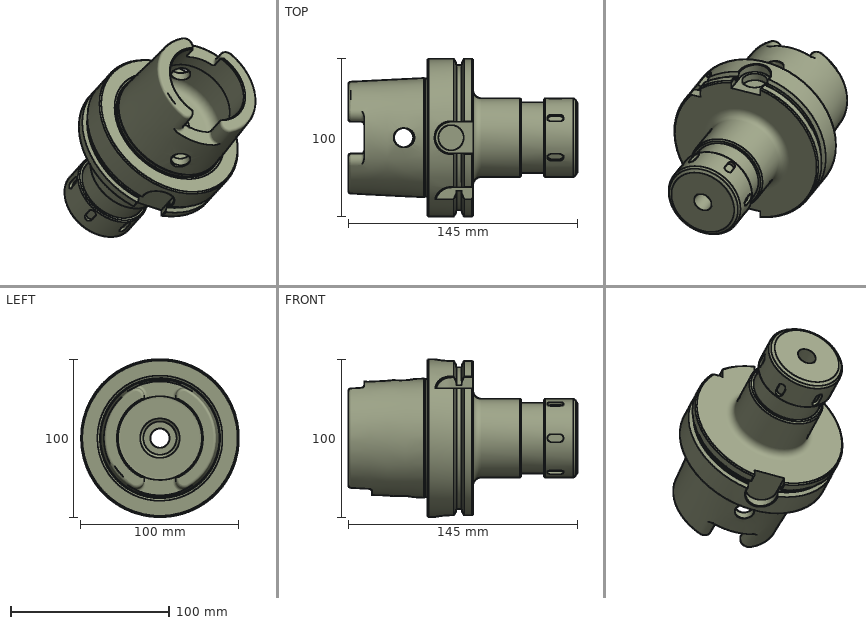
import cadquery as cq
import math


SHANK_LENGTH = 50.0
SHANK_BIG_DIAMETER = 75.52
SHANK_TAPER = 0.05
SHANK_TIP_ROUND = 1.8
RELIEF_LENGTH = 2.3
RELIEF_SLOPE_LENGTH = 0.9
RELIEF_DEPTH = 0.3
FACE_GROOVE_DIAMETER = 79.2
FACE_GROOVE_DEPTH = 0.6

BORE_DIAMETER = 53.0
BORE_MOUTH_CHAMFER = 0.8
LIP_LENGTH = 19.0
UNDERCUT_DIAMETER = 63.0
CLAMP_FACE_ANGLE = 60.0
BORE_FLOOR_DIAMETER = 50.0
BORE_DEPTH = 46.5
SEAT_MOUTH_DIAMETER = 25.0
SEAT_DIAMETER = 21.0
THROUGH_DIAMETER = 12.0

DRIVE_SLOT_WIDTH = 20.0
DRIVE_SLOT_ROLL = 5.0
DRIVE_SLOT_FLOOR_FILLET = 1.7
TOP_DRIVE_SLOT_DEPTH = 10.0
BOTTOM_DRIVE_SLOT_DEPTH = 15.0

CROSS_HOLE_X = -15.0
CROSS_HOLE_DIAMETER = 12.0
CROSS_HOLE_MOUTH_DIAMETER = 13.2

FLANGE_DIAMETER = 100.0
FLANGE_WIDTH = 29.0
FLANGE_CHAMFER = 0.9
GRIP_GROOVE_X = 20.0
GRIP_GROOVE_DIAMETER = 92.0
GRIP_GROOVE_WIDTH = 3.7
GRIP_GROOVE_MOUTH = 6.6
GRIP_FLANK_ANGLE = 30.0
GRIP_GROOVE_FILLET = 0.5

KEY_SLOT_RADIUS = 10.0
KEY_SLOT_X = 15.0
KEY_SLOT_FLOOR = 44.0
KEY_SLOT_CHAMFER = 0.5
CHIP_HOLE_DIAMETER = 16.0
CHIP_HOLE_DEPTH = 5.0
NOTCH_OFFSET = 31.5

BODY_DIAMETER = 50.0
BODY_END_X = 59.5
BODY_CHAMFER = 1.0
BODY_FILLET = 5.0
NECK_DIAMETER = 45.0

NUT_START_X = 73.7
NUT_END_X = 95.0
NUT_DIAMETER = 50.0
NUT_REAR_CHAMFER = 0.9
NUT_NOSE_DIAMETER = 43.5
NUT_NOSE_ANGLE = 30.0
NUT_NOSE_LENGTH = 1.2
NUT_ROUND = 1.4
NUT_SLOT_COUNT = 6
NUT_SLOT_X = 81.0
NUT_SLOT_LENGTH = 10.2
NUT_SLOT_WIDTH = 5.0
NUT_SLOT_FLOOR = 22.75

TOLERANCE = 0.001
BIG = 60.0


def revolve_about_x(profile):
    """Turn a closed XY profile about the X axis."""
    return profile.close().revolve(360, (0, 0, 0), (1, 0, 0))


def half_turn(cutter):
    return cutter.rotate((0, 0, 0), (1, 0, 0), 180)


def shank_radius(x):
    """Radius of the taper at x."""
    return SHANK_BIG_DIAMETER / 2 + SHANK_TAPER * (x + RELIEF_LENGTH)


def turned_holder():
    tip_x = -SHANK_LENGTH
    big_radius = SHANK_BIG_DIAMETER / 2
    tip_radius = shank_radius(tip_x)
    relief_radius = big_radius - RELIEF_DEPTH
    flange_radius = FLANGE_DIAMETER / 2
    body_radius = BODY_DIAMETER / 2
    profile = (
        cq.Workplane("XY")
        .moveTo(tip_x, 0)
        .lineTo(tip_x, tip_radius)
        .lineTo(-RELIEF_LENGTH, big_radius)
        .lineTo(-RELIEF_LENGTH + RELIEF_SLOPE_LENGTH, relief_radius)
        .lineTo(FACE_GROOVE_DEPTH, relief_radius)
        .lineTo(FACE_GROOVE_DEPTH, big_radius + RELIEF_DEPTH)
        .lineTo(0, FACE_GROOVE_DIAMETER / 2)
        .lineTo(0, flange_radius - FLANGE_CHAMFER)
        .lineTo(FLANGE_CHAMFER, flange_radius)
        .lineTo(FLANGE_WIDTH - FLANGE_CHAMFER, flange_radius)
        .lineTo(FLANGE_WIDTH, flange_radius - FLANGE_CHAMFER)
        .lineTo(FLANGE_WIDTH, body_radius + BODY_FILLET)
        .radiusArc((FLANGE_WIDTH + BODY_FILLET, body_radius), -BODY_FILLET)
        .lineTo(BODY_END_X - BODY_CHAMFER, body_radius)
        .lineTo(BODY_END_X, body_radius - BODY_CHAMFER)
        .lineTo(BODY_END_X, NECK_DIAMETER / 2)
        .lineTo(NUT_START_X, NECK_DIAMETER / 2)
        .lineTo(NUT_START_X, 0)
    )
    return revolve_about_x(profile)


def grip_groove():
    outer = FLANGE_DIAMETER / 2
    floor = GRIP_GROOVE_DIAMETER / 2
    half_mouth = GRIP_GROOVE_MOUTH / 2
    half_width = GRIP_GROOVE_WIDTH / 2
    flank_depth = (half_mouth - half_width) / math.tan(math.radians(GRIP_FLANK_ANGLE))
    fillet = GRIP_GROOVE_FILLET
    left = GRIP_GROOVE_X - half_width
    right = GRIP_GROOVE_X + half_width
    profile = (
        cq.Workplane("XY")
        .moveTo(GRIP_GROOVE_X - half_mouth, BIG)
        .lineTo(GRIP_GROOVE_X - half_mouth, outer)
        .lineTo(left, outer - flank_depth)
        .lineTo(left, floor + fillet)
        .radiusArc((left + fillet, floor), -fillet)
        .lineTo(right - fillet, floor)
        .radiusArc((right, floor + fillet), -fillet)
        .lineTo(right, outer - flank_depth)
        .lineTo(GRIP_GROOVE_X + half_mouth, outer)
        .lineTo(GRIP_GROOVE_X + half_mouth, BIG)
    )
    return revolve_about_x(profile)


def clamping_bore():
    tip_x = -SHANK_LENGTH
    bore = BORE_DIAMETER / 2
    undercut = UNDERCUT_DIAMETER / 2
    floor_radius = BORE_FLOOR_DIAMETER / 2
    floor_fillet = undercut - floor_radius
    lip_x = tip_x + LIP_LENGTH
    clamp_face_end_x = lip_x + (undercut - bore) / math.tan(math.radians(CLAMP_FACE_ANGLE))
    floor_x = tip_x + BORE_DEPTH
    seat_x = floor_x + (SEAT_MOUTH_DIAMETER - SEAT_DIAMETER) / 2
    profile = (
        cq.Workplane("XY")
        .moveTo(tip_x, 0)
        .lineTo(tip_x, bore + BORE_MOUTH_CHAMFER)
        .lineTo(tip_x + BORE_MOUTH_CHAMFER, bore)
        .lineTo(lip_x, bore)
        .lineTo(clamp_face_end_x, undercut)
        .lineTo(floor_x - floor_fillet, undercut)
        .radiusArc((floor_x, floor_radius), floor_fillet)
        .lineTo(floor_x, SEAT_MOUTH_DIAMETER / 2)
        .lineTo(seat_x, SEAT_DIAMETER / 2)
        .lineTo(seat_x, 0)
    )
    return revolve_about_x(profile)


def drive_slot(depth):
    """Straight slot from the tip, open toward +Z and reaching down to the axis."""
    return (
        cq.Workplane("YZ", origin=(-BIG, 0, 0))
        .center(0, BIG / 2)
        .rect(DRIVE_SLOT_WIDTH, BIG)
        .extrude(BIG + depth - SHANK_LENGTH)
    )


def lies_on_drive_wall(edge):
    ends = (edge.startPoint(), edge.endPoint())
    return all(abs(abs(p.y) - DRIVE_SLOT_WIDTH / 2) < TOLERANCE for p in ends)


def is_drive_wall_rim(edge):
    """True for an edge where a drive slot wall runs out through the taper."""
    runs_along_shank = abs(edge.startPoint().x - edge.endPoint().x) > TOLERANCE
    return lies_on_drive_wall(edge) and runs_along_shank and abs(edge.Center().z) > DRIVE_SLOT_WIDTH / 2


def is_drive_floor_corner(edge):
    """True for a straight edge between a drive slot wall and the slot floor."""
    at_floor = -SHANK_LENGTH + TOLERANCE < edge.Center().x < 0
    across_shank = abs(edge.startPoint().x - edge.endPoint().x) < TOLERANCE
    return edge.geomType() == "LINE" and lies_on_drive_wall(edge) and across_shank and at_floor


def cut_drive_slots(body):
    body = body.cut(drive_slot(TOP_DRIVE_SLOT_DEPTH))
    body = body.cut(half_turn(drive_slot(BOTTOM_DRIVE_SLOT_DEPTH)))
    body = body.edges().filter(is_drive_wall_rim).fillet(DRIVE_SLOT_ROLL)
    body = body.faces("<X").edges().fillet(SHANK_TIP_ROUND)
    return body.edges().filter(is_drive_floor_corner).fillet(DRIVE_SLOT_FLOOR_FILLET)


def cross_hole():
    """Hole through both shank walls, countersunk where it leaves the taper."""
    hole_radius = CROSS_HOLE_DIAMETER / 2
    hole = cq.Workplane("XY", origin=(CROSS_HOLE_X, 0, -BIG)).circle(hole_radius).extrude(2 * BIG)
    surface = shank_radius(CROSS_HOLE_X)
    sink_depth = CROSS_HOLE_MOUTH_DIAMETER / 2 - hole_radius
    for side in (1, -1):
        sink = (
            cq.Workplane("XY", origin=(CROSS_HOLE_X, 0, side * (surface - sink_depth)))
            .circle(hole_radius)
            .workplane(offset=side * 2 * sink_depth)
            .circle(hole_radius + 2 * sink_depth)
            .loft()
        )
        hole = hole.union(sink)
    return hole


def round_end_slot(center_y, floor_z):
    """Slot milled down to floor_z, round at its -X end and open toward +X."""
    start = cq.Workplane("XY", origin=(KEY_SLOT_X, center_y, floor_z))
    round_end = start.circle(KEY_SLOT_RADIUS).extrude(BIG)
    run = start.center(BIG / 2, 0).rect(BIG, 2 * KEY_SLOT_RADIUS).extrude(BIG)
    return round_end.union(run)


def chip_hole():
    floor_z = KEY_SLOT_FLOOR - CHIP_HOLE_DEPTH
    return cq.Workplane("XY", origin=(KEY_SLOT_X, 0, floor_z)).circle(CHIP_HOLE_DIAMETER / 2).extrude(BIG)


def through_hole():
    return cq.Workplane("YZ", origin=(-BIG, 0, 0)).circle(THROUGH_DIAMETER / 2).extrude(3 * BIG)


def is_slot_edge_on_rim(edge):
    """True for a wall edge of a key slot or the notch on the flange's cylindrical rim."""
    ends = (edge.startPoint(), edge.endPoint())
    on_rim = all(abs(math.hypot(p.y, p.z) - FLANGE_DIAMETER / 2) < TOLERANCE for p in ends)
    around_rim = abs(ends[0].x - ends[1].x) < TOLERANCE
    on_notch_floor = all(abs(p.z - NOTCH_OFFSET) < TOLERANCE for p in ends)
    on_seam = all(abs(p.z) < TOLERANCE for p in ends)
    return on_rim and not (around_rim or on_notch_floor or on_seam)


def holder_body():
    body = cut_drive_slots(turned_holder())
    body = body.cut(clamping_bore())
    body = body.cut(through_hole())
    body = body.cut(cross_hole())
    key_slot = round_end_slot(0, KEY_SLOT_FLOOR)
    notch = round_end_slot(-NOTCH_OFFSET - KEY_SLOT_RADIUS, NOTCH_OFFSET)
    for cutter in (key_slot, half_turn(key_slot), notch):
        body = body.cut(cutter)
    slot_edges = body.edges().filter(is_slot_edge_on_rim)
    body = slot_edges.chamfer(KEY_SLOT_CHAMFER)
    body = body.cut(grip_groove())
    return body.cut(chip_hole())


def nut_slot():
    return (
        cq.Workplane("XY", origin=(NUT_SLOT_X, 0, NUT_SLOT_FLOOR))
        .slot2D(NUT_SLOT_LENGTH, NUT_SLOT_WIDTH)
        .extrude(BIG)
    )


def clamping_nut():
    radius = NUT_DIAMETER / 2
    nose = NUT_NOSE_DIAMETER / 2
    cone_start_x = NUT_END_X - NUT_NOSE_LENGTH
    cone_radius = nose + NUT_NOSE_LENGTH / math.tan(math.radians(NUT_NOSE_ANGLE))
    profile = (
        cq.Workplane("XY")
        .moveTo(NUT_START_X, 0)
        .lineTo(NUT_START_X, radius - NUT_REAR_CHAMFER)
        .lineTo(NUT_START_X + NUT_REAR_CHAMFER, radius)
        .lineTo(cone_start_x - NUT_ROUND, radius)
        .lineTo(cone_start_x, cone_radius)
        .lineTo(NUT_END_X, nose)
        .lineTo(NUT_END_X, 0)
    )
    nut = revolve_about_x(profile).cut(through_hole())
    for i in range(NUT_SLOT_COUNT):
        nut = nut.cut(nut_slot().rotate((0, 0, 0), (1, 0, 0), 90 + i * 360 / NUT_SLOT_COUNT))
    return nut


holder = holder_body()
nut = clamping_nut()
result = cq.Compound.makeCompound([holder.val(), nut.val()])